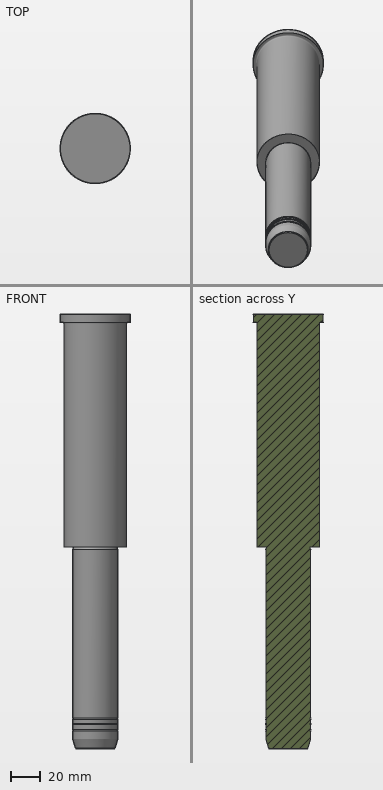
import cadquery as cq

total_length = 291.0
head_diameter = 47.0
head_height = 5.5
body_diameter = 42.0
body_end_depth = 156.0
shank_diameter = 30.3

head_chamfer = 0.3
head_fillet = 1.0
neck_chamfer_height = 1.5
neck_chamfer_width = 0.5
tip_height = 6.5
tip_diameter = 26.8
tip_chamfer = 0.5

groove_width = 1.0
groove_depth = 0.3
groove_heights = (20.0, 16.5, 12.5)

head_radius = head_diameter / 2
body_radius = body_diameter / 2
shank_radius = shank_diameter / 2
tip_radius = tip_diameter / 2
head_base = total_length - head_height
body_base = total_length - body_end_depth


def turned_pin():
    """Solid of revolution: headed body, thinner shank and tapered tip."""
    outline = (
        cq.Workplane("XZ")
        .moveTo(0, 0)
        .lineTo(tip_radius - tip_chamfer, 0)
        .lineTo(tip_radius, tip_chamfer)
        .lineTo(shank_radius, tip_height)
        .lineTo(shank_radius, body_base - neck_chamfer_height)
        .lineTo(shank_radius - neck_chamfer_width, body_base)
        .lineTo(body_radius, body_base)
        .lineTo(body_radius, head_base - head_fillet)
        .radiusArc((body_radius + head_fillet, head_base), head_fillet)
        .lineTo(head_radius, head_base)
        .lineTo(head_radius, total_length - head_chamfer)
        .lineTo(head_radius - head_chamfer, total_length)
        .lineTo(0, total_length)
        .close()
    )
    return outline.revolve(360, (0, 0, 0), (0, 1, 0))


def ring_groove(centre_height):
    """Ring of material removed from the shank surface."""
    return (
        cq.Workplane("XY", origin=(0, 0, centre_height - groove_width / 2))
        .circle(shank_radius + groove_depth)
        .circle(shank_radius - groove_depth)
        .extrude(groove_width)
    )


result = turned_pin()
for groove_height in groove_heights:
    result = result.cut(ring_groove(groove_height))